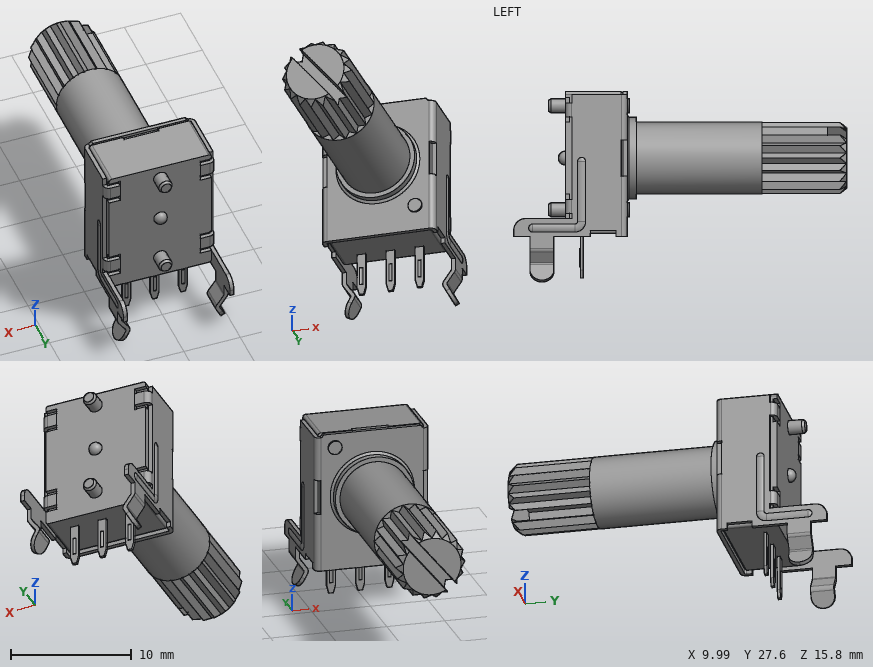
import cadquery as cq
import math


OVERALL_LENGTH = 27.6

SHEET = 0.35
BEND_INNER_RADIUS = 0.15
BEND_MID_RADIUS = BEND_INNER_RADIUS + SHEET / 2
BEND_OUTER_RADIUS = BEND_INNER_RADIUS + SHEET
COVER_WIDTH = 9.8
COVER_HEIGHT = 12.03
SIDE_REAR_Y = 4.58
SIDE_TOP_DROP = 0.25
SIDE_MID_X = COVER_WIDTH / 2 - SHEET / 2
SIDE_INNER_X = COVER_WIDTH / 2 - SHEET
BEND_START_X = COVER_WIDTH / 2 - BEND_OUTER_RADIUS
CORNER_WINDOW_HEIGHT = 2.98
BOTTOM_NOTCH_FRONT_Y = 0.95
BOTTOM_NOTCH_REAR_Y = 3.05
BOTTOM_NOTCH_HEIGHT = 0.5

ARM_REAR_Y = 9.4
ARM_HEIGHT = 1.52
ARM_CORNER_RADIUS = 1.0
LEG_WIDTH = 2.0
LEG_MID_Y = 7.07
LEG_TIP_FLAT = 0.03
LEG_TIP_RADIUS = (LEG_WIDTH - LEG_TIP_FLAT) / 2
LEG_KNEE_X = 3.92
LEG_TIP_X = 4.7
LEG_BEND_Z = -1.08
LEG_KNEE_Z = -2.2
LEG_LOWEST_Z = -3.75
BEAD_WIDTH = 0.65
BEAD_HEIGHT = 0.097
BEAD_BEND_RADIUS = 0.55
BEAD_UPRIGHT_Y = 3.78
BEAD_ARM_Z = 0.72
BEAD_TOP_Z = 6.25
BEAD_REAR_Y = 7.85
TAB_HEIGHT = 1.15
TAB_REACH = 1.0
TAB_HEIGHTS_Z = (2.5, 10.52)

BASE_BOTTOM_Z = 0.25
BASE_REAR_Y = 5.13
BASE_EDGE_RADIUS = 0.25
BASE_FRONT_CHAMFER = 0.17
TOP_NOTCH_WIDTH = 3.12
TOP_NOTCH_DEPTH_Y = 0.45
TOP_NOTCH_DEPTH_Z = 0.25
TAB_RECESS_HEIGHT = 2.05
PEG_DIAMETER = 1.2
PEG_LOW_Z = 2.24
PEG_HIGH_Z = 10.85
PEG_REAR_Y = 6.55
PEG_CHAMFER_LENGTH = 0.22
PEG_CHAMFER_DEPTH = 0.15
RIVET_X = 3.23
RIVET_HEIGHT = 0.17
DOME_RADIUS = 0.58

TERMINAL_PITCH = 2.5
TERMINAL_WIDTH = 0.75
TERMINAL_THICKNESS = 0.25
TERMINAL_MID_Y = 3.75
TERMINAL_TOP_Z = 1.1
TERMINAL_TIP_Z = -3.42
TERMINAL_TIP_WIDTH = 0.4
TERMINAL_TAPER_LENGTH = 0.65
CREASE_WIDTH = 0.28
CREASE_DEPTH = 0.08
CREASE_TOP_Z = -0.97
CREASE_BOTTOM_Z = -2.5

SHAFT_AXIS_Z = 6.5
SHAFT_RADIUS = 6.0 / 2
SHAFT_TIP_Y = ARM_REAR_Y - OVERALL_LENGTH
COLLAR_RADIUS = 6.8 / 2
COLLAR_FOOT_RADIUS = 7.25 / 2
COLLAR_FOOT_HEIGHT = 0.15
COLLAR_HEIGHT = 0.75
SPLINE_START_Y = -11.15
SPLINE_TEETH = 18
SPLINE_ROOT_RADIUS = 2.5
TIP_RADIUS = 2.48
TIP_CHAMFER_LENGTH = 0.58
SLOT_WIDTH = 1.0
SLOT_DEPTH = 1.6
SLOT_ANGLE = 50


def block(x_range, y_range, z_range):
    """Box between two limits on each axis."""
    (x0, x1), (y0, y1), (z0, z1) = x_range, y_range, z_range
    return cq.Workplane("XY").box(x1 - x0, y1 - y0, z1 - z0, centered=False).translate((x0, y0, z0))


def rod(radius, x, z, y_front, y_rear):
    """Cylinder along Y."""
    return cq.Workplane("XZ", origin=(x, y_rear, z)).circle(radius).extrude(y_rear - y_front)


def both_sides(left):
    """A left-hand shape together with its mirror image."""
    return left.union(left.mirror("YZ"))


def rounded_path(points, radius):
    """Polyline wire with an arc at every inner corner."""
    wire = cq.Wire.assembleEdges([cq.Edge.makeLine(a, b) for a, b in zip(points, points[1:])])
    ends = (points[0].toTuple(), points[-1].toTuple())
    corners = [vertex for vertex in wire.Vertices() if vertex.toTuple() not in ends]
    return cq.Workplane(obj=wire.fillet(radius, corners))


def wrapped_sheet():
    """Front plate with its two side plates, bent from one strip."""
    middle_z = COVER_HEIGHT / 2
    path = rounded_path(
        [
            cq.Vector(-SIDE_MID_X, SIDE_REAR_Y, middle_z),
            cq.Vector(-SIDE_MID_X, SHEET / 2, middle_z),
            cq.Vector(SIDE_MID_X, SHEET / 2, middle_z),
            cq.Vector(SIDE_MID_X, SIDE_REAR_Y, middle_z),
        ],
        BEND_MID_RADIUS,
    )
    start = cq.Workplane("XZ", origin=(-SIDE_MID_X, SIDE_REAR_Y, middle_z))
    return start.rect(SHEET, COVER_HEIGHT).sweep(path)


def top_corner_cut():
    """Lowers the side plate and slants the top corner of the front plate."""
    side_top = COVER_HEIGHT - SIDE_TOP_DROP
    outline = [
        (-COVER_WIDTH, side_top),
        (-BEND_START_X, side_top),
        (-BEND_START_X + SIDE_TOP_DROP, COVER_HEIGHT),
        (-COVER_WIDTH, COVER_HEIGHT),
    ]
    return cq.Workplane("XZ", origin=(0, SIDE_REAR_Y, 0)).polyline(outline).close().extrude(SIDE_REAR_Y)


def corner_window():
    """Opening through the bend, level with the shaft."""
    half = CORNER_WINDOW_HEIGHT / 2
    return block(
        (-COVER_WIDTH, -BEND_START_X), (0, BEND_OUTER_RADIUS), (SHAFT_AXIS_Z - half, SHAFT_AXIS_Z + half)
    )


def bottom_notch():
    return block(
        (-COVER_WIDTH / 2, -SIDE_INNER_X), (BOTTOM_NOTCH_FRONT_Y, BOTTOM_NOTCH_REAR_Y), (0, BOTTOM_NOTCH_HEIGHT)
    )


def arm():
    """Rearward extension of the side plate with a rounded upper corner."""
    plate = block((-COVER_WIDTH / 2, -SIDE_INNER_X), (SIDE_REAR_Y, ARM_REAR_Y), (0, ARM_HEIGHT))
    return plate.edges("|X").edges(">Y and >Z").fillet(ARM_CORNER_RADIUS)


def snap_leg():
    """Leg bent inward to a knee and back out to a round tip."""
    slope = math.atan2(LEG_TIP_X - LEG_KNEE_X, LEG_KNEE_Z - LEG_LOWEST_Z)
    tip_z = LEG_LOWEST_Z + SHEET / 2 * math.sin(slope)
    path = rounded_path(
        [
            cq.Vector(-SIDE_MID_X, LEG_MID_Y, 0),
            cq.Vector(-SIDE_MID_X, LEG_MID_Y, LEG_BEND_Z),
            cq.Vector(-LEG_KNEE_X, LEG_MID_Y, LEG_KNEE_Z),
            cq.Vector(-LEG_TIP_X, LEG_MID_Y, tip_z),
        ],
        BEND_MID_RADIUS,
    )
    strip = cq.Workplane("XY", origin=(-SIDE_MID_X, LEG_MID_Y, 0)).rect(SHEET, LEG_WIDTH).sweep(path)
    return strip.faces("<Z").edges("not |Y").fillet(LEG_TIP_RADIUS)


def bead():
    """L-shaped raised bead of circular-segment section with round ends."""
    face_x = -COVER_WIDTH / 2
    half = BEAD_WIDTH / 2
    crest_x = face_x - BEAD_HEIGHT
    top = cq.Vector(face_x, BEAD_UPRIGHT_Y, BEAD_TOP_Z)
    rear = cq.Vector(face_x, BEAD_REAR_Y, BEAD_ARM_Z)
    path = rounded_path([top, cq.Vector(face_x, BEAD_UPRIGHT_Y, BEAD_ARM_Z), rear], BEAD_BEND_RADIUS)
    section = (
        cq.Workplane("XY", origin=(0, 0, BEAD_TOP_Z))
        .moveTo(face_x, BEAD_UPRIGHT_Y - half)
        .threePointArc((crest_x, BEAD_UPRIGHT_Y), (face_x, BEAD_UPRIGHT_Y + half))
        .close()
    )
    solid = section.sweep(path)
    cap_sphere_radius = (half**2 + BEAD_HEIGHT**2) / (2 * BEAD_HEIGHT)
    outside = block((-COVER_WIDTH, face_x), (0, ARM_REAR_Y), (0, COVER_HEIGHT))
    for end in (top, rear):
        centre = (crest_x + cap_sphere_radius, end.y, end.z)
        sphere = cq.Workplane("XY").sphere(cap_sphere_radius).translate(centre)
        solid = solid.union(sphere.intersect(outside))
    return solid


def crimp_tab(z):
    """Tab folded from the side plate onto the rear of the base."""
    path = rounded_path(
        [
            cq.Vector(-SIDE_MID_X, SIDE_REAR_Y, z),
            cq.Vector(-SIDE_MID_X, BASE_REAR_Y - SHEET / 2, z),
            cq.Vector(-SIDE_INNER_X + TAB_REACH, BASE_REAR_Y - SHEET / 2, z),
        ],
        BEND_MID_RADIUS,
    )
    return cq.Workplane("XZ", origin=(-SIDE_MID_X, SIDE_REAR_Y, z)).rect(SHEET, TAB_HEIGHT).sweep(path)


def make_cover():
    cover = wrapped_sheet()
    for cut in (top_corner_cut(), corner_window(), bottom_notch()):
        cover = cover.cut(both_sides(cut))
    side_parts = [arm(), snap_leg(), bead()] + [crimp_tab(z) for z in TAB_HEIGHTS_Z]
    for part in side_parts:
        cover = cover.union(both_sides(part))
    cover = cover.cut(rod(COLLAR_RADIUS, 0, SHAFT_AXIS_Z, 0, SHEET))
    for x, z in rivet_places():
        cover = cover.cut(rod(PEG_DIAMETER / 2, x, z, 0, SHEET))
    return cover


def rivet_places():
    return [(-RIVET_X, PEG_HIGH_Z), (RIVET_X, PEG_LOW_Z)]


def base_block():
    body = block((-SIDE_INNER_X, SIDE_INNER_X), (SHEET, BASE_REAR_Y), (BASE_BOTTOM_Z, COVER_HEIGHT))
    return body.edges("|Y").fillet(BASE_EDGE_RADIUS).faces("<Y").chamfer(BASE_FRONT_CHAMFER)


def top_notch():
    half = TOP_NOTCH_WIDTH / 2
    return block(
        (-half, half), (SHEET, SHEET + TOP_NOTCH_DEPTH_Y), (COVER_HEIGHT - TOP_NOTCH_DEPTH_Z, COVER_HEIGHT)
    )


def tab_recess(z):
    """Recess in the rear edge of the base, taller than the tab folded into it."""
    half = TAB_RECESS_HEIGHT / 2
    x_range = (-SIDE_INNER_X, -SIDE_INNER_X + TAB_REACH)
    return block(x_range, (BASE_REAR_Y - SHEET, BASE_REAR_Y), (z - half, z + half))


def locating_peg(z):
    peg = rod(PEG_DIAMETER / 2, 0, z, BASE_REAR_Y, PEG_REAR_Y)
    return peg.faces(">Y").chamfer(PEG_CHAMFER_LENGTH, PEG_CHAMFER_DEPTH)


def make_base(cover, terminals):
    base = base_block().cut(top_notch())
    for z in TAB_HEIGHTS_Z:
        base = base.cut(both_sides(tab_recess(z)))
    for z in (PEG_LOW_Z, PEG_HIGH_Z):
        base = base.union(locating_peg(z))
    for x, z in rivet_places():
        base = base.union(rod(PEG_DIAMETER / 2, x, z, -RIVET_HEIGHT, SHEET))
    base = base.union(cq.Workplane("XY").sphere(DOME_RADIUS).translate((0, BASE_REAR_Y, SHAFT_AXIS_Z)))
    for body in [cover] + terminals:
        base = base.cut(body)
    return base


def crease(x, face_y):
    """Upright bar with one shallow rounded side: a groove in the front of a terminal, a ridge on its rear."""
    half = CREASE_WIDTH / 2
    return (
        cq.Workplane("XY", origin=(x, face_y, CREASE_BOTTOM_Z))
        .moveTo(-half, 0)
        .threePointArc((0, CREASE_DEPTH), (half, 0))
        .close()
        .extrude(CREASE_TOP_Z - CREASE_BOTTOM_Z)
    )


def make_terminal(x):
    half = TERMINAL_WIDTH / 2
    tip_half = TERMINAL_TIP_WIDTH / 2
    taper_z = TERMINAL_TIP_Z + TERMINAL_TAPER_LENGTH
    front_y = TERMINAL_MID_Y - TERMINAL_THICKNESS / 2
    rear_y = TERMINAL_MID_Y + TERMINAL_THICKNESS / 2
    outline = [
        (-half, TERMINAL_TOP_Z),
        (-half, taper_z),
        (-tip_half, TERMINAL_TIP_Z),
        (tip_half, TERMINAL_TIP_Z),
        (half, taper_z),
        (half, TERMINAL_TOP_Z),
    ]
    blade = cq.Workplane("XZ", origin=(x, rear_y, 0)).polyline(outline).close().extrude(TERMINAL_THICKNESS)
    return blade.cut(crease(x, front_y)).union(crease(x, rear_y))


def plain_shaft():
    """Collar with a conical foot, smooth shaft and chamfered tip, turned about the shaft axis."""
    profile = [
        (0, SHEET),
        (COLLAR_RADIUS, SHEET),
        (COLLAR_RADIUS, 0),
        (COLLAR_FOOT_RADIUS, 0),
        (COLLAR_RADIUS, -COLLAR_FOOT_HEIGHT),
        (COLLAR_RADIUS, -COLLAR_HEIGHT),
        (SHAFT_RADIUS, -COLLAR_HEIGHT),
        (SHAFT_RADIUS, SHAFT_TIP_Y + TIP_CHAMFER_LENGTH),
        (TIP_RADIUS, SHAFT_TIP_Y),
        (0, SHAFT_TIP_Y),
    ]
    turned = cq.Workplane("XY").polyline(profile).close().revolve(360, (0, 0, 0), (0, 1, 0))
    return turned.translate((0, 0, SHAFT_AXIS_Z))


def spline_grooves():
    """Ring around the splined length with a star-shaped opening of pointed teeth."""
    star = []
    for step in range(2 * SPLINE_TEETH):
        radius = SHAFT_RADIUS if step % 2 == 0 else SPLINE_ROOT_RADIUS
        angle = math.pi * step / SPLINE_TEETH
        star.append((radius * math.cos(angle), radius * math.sin(angle)))
    length = SPLINE_START_Y - SHAFT_TIP_Y
    plane = cq.Workplane("XZ", origin=(0, SPLINE_START_Y, SHAFT_AXIS_Z))
    return plane.circle(COLLAR_RADIUS).extrude(length).cut(plane.polyline(star).close().extrude(length))


def screwdriver_slot():
    slot = block(
        (-SHAFT_RADIUS, SHAFT_RADIUS), (SHAFT_TIP_Y, SHAFT_TIP_Y + SLOT_DEPTH), (-SLOT_WIDTH / 2, SLOT_WIDTH / 2)
    )
    return slot.rotate((0, 0, 0), (0, 1, 0), SLOT_ANGLE).translate((0, 0, SHAFT_AXIS_Z))


def make_shaft():
    return plain_shaft().cut(spline_grooves()).cut(screwdriver_slot())


cover = make_cover()
terminals = [make_terminal(place * TERMINAL_PITCH) for place in (-1, 0, 1)]
base = make_base(cover, terminals)
shaft = make_shaft()

bodies = [base, cover, shaft] + terminals
solids = [solid for body in bodies for solid in body.solids().vals()]
result = cq.Compound.makeCompound(solids)